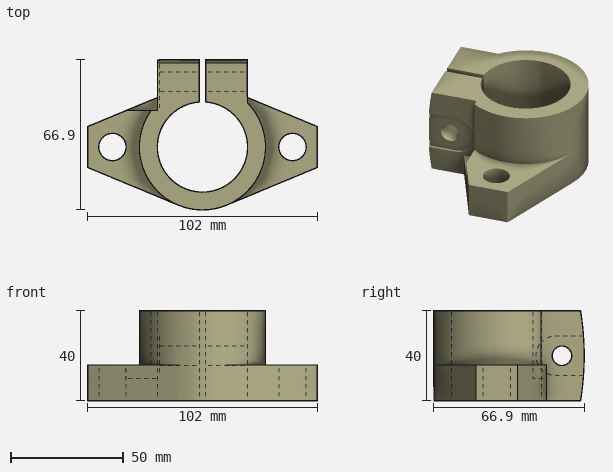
import cadquery as cq
import math

height = 40.0
bore_radius = 20.0
ring_diameter = 56.0
ring_radius = ring_diameter / 2

flange_length = 102.0
flange_end_width = 18.3
flange_height = 15.9
mount_hole_diameter = 12.0
mount_hole_spacing = 80.0

block_width = 2 * bore_radius
overall_depth = 66.9
block_back = overall_depth - ring_radius
back_sag = 1.6
slit_width = 2.8

screw_hole_diameter = 8.6
screw_y = 29.0
screw_z = height / 2
seat_radius = 8.8
seat_center_y = 26.2
seat_depth = 1.0

relief_front = 16.1
relief_floor = 10.0


def make_flange():
    """Plate whose slanted sides are tangent to the ring."""
    end_x = flange_length / 2
    end_y = flange_end_width / 2
    tangent_angle = math.atan2(end_y, end_x) + math.acos(ring_radius / math.hypot(end_x, end_y))
    tangent_x = ring_radius * math.cos(tangent_angle)
    tangent_y = ring_radius * math.sin(tangent_angle)
    plate = (
        cq.Workplane("XY")
        .moveTo(end_x, -end_y)
        .lineTo(end_x, end_y)
        .lineTo(tangent_x, tangent_y)
        .threePointArc((0, ring_radius), (-tangent_x, tangent_y))
        .lineTo(-end_x, end_y)
        .lineTo(-end_x, -end_y)
        .lineTo(-tangent_x, -tangent_y)
        .threePointArc((0, -ring_radius), (tangent_x, -tangent_y))
        .close()
        .extrude(flange_height)
    )
    holes = (
        cq.Workplane("XY")
        .rarray(mount_hole_spacing, 1, 2, 1)
        .circle(mount_hole_diameter / 2)
        .extrude(flange_height)
    )
    return plate.cut(holes)


def make_block():
    """Clamping block with a gently crowned back face."""
    return (
        cq.Workplane("YZ")
        .moveTo(0, 0)
        .lineTo(block_back - back_sag, 0)
        .threePointArc((block_back, height / 2), (block_back - back_sag, height))
        .lineTo(0, height)
        .close()
        .extrude(block_width / 2, both=True)
    )


def make_relief():
    """Space beside the block for the screw head."""
    return cq.Workplane("XY").box(
        flange_length / 2 - block_width / 2,
        block_back - relief_front,
        height - relief_floor,
        centered=False,
    ).translate((-flange_length / 2, relief_front, relief_floor))


def make_screw_seat():
    """Shallow round-ended recess, open at the back of the block."""
    side = cq.Workplane("YZ", origin=(-block_width / 2, 0, 0))
    return (
        side.moveTo(block_back, screw_z - seat_radius)
        .lineTo(seat_center_y, screw_z - seat_radius)
        .threePointArc(
            (seat_center_y - seat_radius, screw_z),
            (seat_center_y, screw_z + seat_radius),
        )
        .lineTo(block_back, screw_z + seat_radius)
        .close()
        .extrude(seat_depth)
    )


def make_screw_hole():
    return (
        cq.Workplane("YZ")
        .center(screw_y, screw_z)
        .circle(screw_hole_diameter / 2)
        .extrude(block_width / 2, both=True)
    )


ring = cq.Workplane("XY").circle(ring_radius).extrude(height)
bore = cq.Workplane("XY").circle(bore_radius).extrude(height)
slit = cq.Workplane("XY").box(slit_width, block_back, height, centered=(True, False, False))

result = ring.union(make_flange()).union(make_block())
for cutter in (bore, slit, make_relief(), make_screw_seat(), make_screw_hole()):
    result = result.cut(cutter)